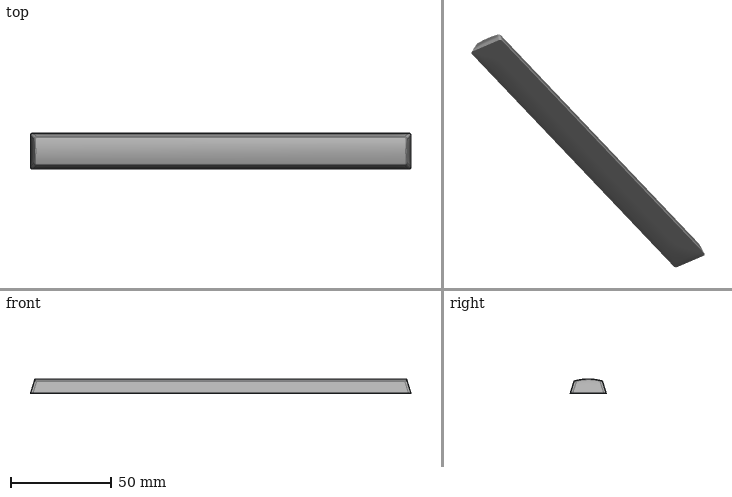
import cadquery as cq
import math

length = 189.5
width = 18.0

height = 7.2
draft_angle = 17.5
crown_radius = 23.9

corner_radius = 1.3
top_edge_radius = 0.5


def tapered_bar():
    """Rectangular bar whose four sides lean inward, with its corner edges rounded."""
    bar = cq.Workplane("XY").rect(length, width).extrude(height, taper=draft_angle)
    return bar.edges("not(|X or |Y)").fillet(corner_radius)


def crown_envelope():
    """Straight-sided block along X whose top is the crowned arc of the bar."""
    half_width = width / 2
    crown_center_height = height - crown_radius
    shoulder_height = crown_center_height + math.sqrt(crown_radius**2 - half_width**2)
    return (
        cq.Workplane("YZ")
        .moveTo(-half_width, 0)
        .lineTo(half_width, 0)
        .lineTo(half_width, shoulder_height)
        .threePointArc((0, height), (-half_width, shoulder_height))
        .close()
        .extrude(length / 2, both=True)
    )


crowned_bar = tapered_bar().intersect(crown_envelope())

result = crowned_bar.faces(">Z").edges().fillet(top_edge_radius)